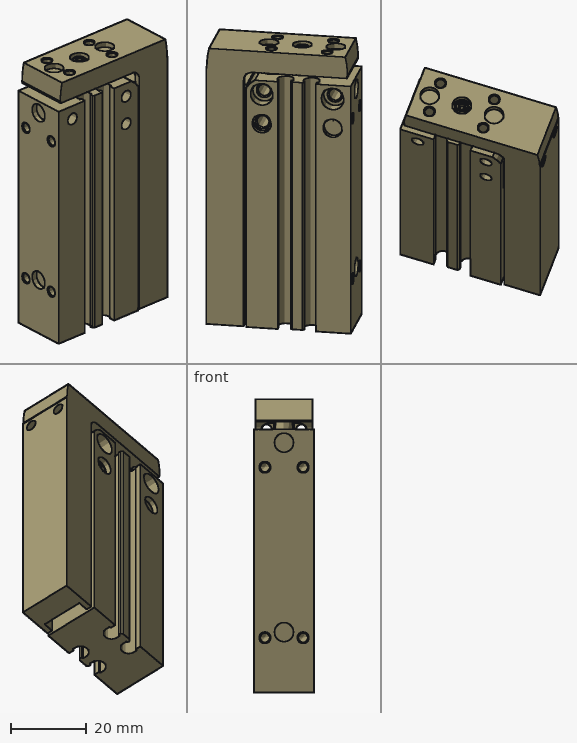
import cadquery as cq
import math


total_height = 77.5
total_depth = 39.0
housing_width = 16.0
housing_depth = 28.1
housing_height = 69.5
table_width = 15.2
table_wall = 10.1
table_slab = 6.0
wall_inner_y = total_depth - table_wall
slab_bottom_z = total_height - table_slab
over = 0.8

corner_run_y = 2.3
corner_run_z = 2.3
corner_radius = 7.0
slot_width = 3.3
slot_neck = 1.6
slot_bore_dia = 4.3
slot_bore_wall = 1.0
rib_width = 3.65
rib_recess = 0.5
rib_chamfer = 0.5

rod_y = 14.5
rod_dia = 4.6
stud_dia = 3.8
stud_top_z = 77.0
stud_chamfer = 0.4
socket_dia = 1.55
socket_depth = 1.55
socket_chamfer = 0.2
stopper_y = 22.5
stopper_dia = 5.5
stopper_height = 1.25
stopper_neck_dia = 2.0

side_hole_dia = 3.25
side_hole_mouth_dia = 4.0
side_front_y = 4.9
side_rear_y = 23.95
side_upper_z = 65.65
side_lower_z = 57.4
counterbore_dia = 6.0
counterbore_depth = 3.3

port_dia = 5.0
port_depth = 1.55
front_port_zs = (16.0, 66.0)

thread_dia = 2.5
thread_mouth_dia = 3.0
drill_tip_angle = 118.0
front_thread_x = 5.0
front_thread_zs = (14.5, 59.5)
front_thread_depth = 5.0
slab_thread_x = 4.5
slab_thread_offset_y = 7.5

guide_width = 12.0
guide_bottom_z = 47.4
guide_length = 20.0
guide_cap_length = 3.1
guide_cap_gap = 0.2

slab_front_y = 0.9
slab_front_step = 0.15
slab_rear_step = 0.15
slab_step_height = 0.5
slab_end_run = 0.6
slab_end_radius = 24.0
inner_fillet = 2.5
dowel_dia = 5.0
dowel_depth = 1.5
dowel_offset_y = 9.0
rod_recess_dia = 5.0
rod_recess_depth = 1.5
wall_hole_dia = 3.0
wall_hole_x = 4.65
wall_hole_z = 69.3
groove_depth = 3.0
groove_top_z = 71.15
groove_corner_radius = 2.0
groove_floor_y = wall_inner_y + groove_depth


def cylinder(dia, length, start, direction):
    """A cylinder that grows from a start point along a direction."""
    solid = cq.Solid.makeCylinder(dia / 2, length, cq.Vector(*start), cq.Vector(*direction))
    return cq.Workplane(solid)


def conical_mouth(hole_dia, mouth_dia, start, direction):
    """A 90 degree countersink cutter that narrows from the mouth to the hole."""
    depth = (mouth_dia - hole_dia) / 2
    solid = cq.Solid.makeCone(
        mouth_dia / 2, hole_dia / 2, depth, cq.Vector(*start), cq.Vector(*direction)
    )
    return cq.Workplane(solid)


def block(width, y_range, z_range):
    """A box centred on X = 0 between two Y and two Z positions."""
    y_start, y_end = y_range
    z_start, z_end = z_range
    corner = cq.Vector(-width / 2, y_start, z_start)
    return cq.Workplane(cq.Solid.makeBox(width, y_end - y_start, z_end - z_start, corner))


def sensor_slots(side):
    """Two undercut slots and the recessed rib between them, on the side at -X or +X."""
    face_x = side * housing_width / 2
    outer_x = face_x + side * over
    neck_x = face_x - side * slot_neck
    arc_x = neck_x - side * slot_bore_wall
    bore_half = slot_bore_dia / 2
    slot_end_x = arc_x - side * bore_half
    pitch = slot_width + rib_width
    slots = cq.Workplane("XY")
    for y in (rod_y - pitch / 2, rod_y + pitch / 2):
        slot = (
            cq.Workplane("XY")
            .moveTo(outer_x, y - slot_width / 2)
            .lineTo(neck_x, y - slot_width / 2)
            .lineTo(neck_x, y - bore_half)
            .lineTo(arc_x, y - bore_half)
            .threePointArc((slot_end_x, y), (arc_x, y + bore_half))
            .lineTo(neck_x, y + bore_half)
            .lineTo(neck_x, y + slot_width / 2)
            .lineTo(outer_x, y + slot_width / 2)
            .close()
            .extrude(housing_height)
        )
        slots = slots.add(slot)
    rib_face_x = face_x - side * rib_recess
    flat_half = rib_width / 2 - rib_chamfer
    rib_trim = (
        cq.Workplane("XY")
        .polyline(
            [
                (outer_x, rod_y - rib_width / 2),
                (rib_face_x - side * rib_chamfer, rod_y - rib_width / 2),
                (rib_face_x, rod_y - flat_half),
                (rib_face_x, rod_y + flat_half),
                (rib_face_x - side * rib_chamfer, rod_y + rib_width / 2),
                (outer_x, rod_y + rib_width / 2),
            ]
        )
        .close()
        .extrude(housing_height)
    )
    return slots.combine().union(rib_trim)


def side_hole(y, z, recess_dia, recess_depth):
    """A through hole along X with a wider recess at -X and a conical mouth at its floor."""
    face_x = -housing_width / 2
    floor_x = face_x + recess_depth
    return (
        cylinder(side_hole_dia, housing_width, (face_x, y, z), (1, 0, 0))
        .union(cylinder(recess_dia, recess_depth, (face_x, y, z), (1, 0, 0)))
        .union(conical_mouth(side_hole_dia, side_hole_mouth_dia, (floor_x, y, z), (1, 0, 0)))
    )


def front_threaded_hole(x, z):
    """A blind threaded hole in the front face, with a conical mouth and a drill tip."""
    tip_length = thread_dia / 2 / math.tan(math.radians(drill_tip_angle / 2))
    tip = cq.Solid.makeCone(
        thread_dia / 2, 0, tip_length, cq.Vector(x, front_thread_depth, z), cq.Vector(0, 1, 0)
    )
    return (
        cylinder(thread_dia, front_thread_depth, (x, 0, z), (0, 1, 0))
        .union(conical_mouth(thread_dia, thread_mouth_dia, (x, 0, z), (0, 1, 0)))
        .union(cq.Workplane(tip))
    )


def rod():
    """The piston rod with its shoulder under the slab and its socketed threaded end."""
    up = (0, 0, 1)
    shoulder = cylinder(rod_dia, slab_bottom_z - housing_height, (0, rod_y, housing_height), up)
    stud = cylinder(stud_dia, stud_top_z - slab_bottom_z, (0, rod_y, slab_bottom_z), up)
    stud = stud.faces(">Z").chamfer(stud_chamfer)
    top = (0, rod_y, stud_top_z)
    down = (0, 0, -1)
    socket = cylinder(socket_dia, socket_depth, top, down)
    socket = socket.union(conical_mouth(socket_dia, socket_dia + 2 * socket_chamfer, top, down))
    return shoulder.union(stud).cut(socket)


def stopper():
    """The end stop on top of the housing: a disc with a neck that meets the slab."""
    disc_top_z = housing_height + stopper_height
    disc = cylinder(stopper_dia, stopper_height, (0, stopper_y, housing_height), (0, 0, 1))
    neck = cylinder(stopper_neck_dia, slab_bottom_z - disc_top_z, (0, stopper_y, disc_top_z), (0, 0, 1))
    return disc.union(neck)


def guide():
    """The guide block on the housing's rear face; its end caps stand clear of the housing."""
    guide_top_z = guide_bottom_z + guide_length
    middle = block(
        guide_width,
        (housing_depth, groove_floor_y),
        (guide_bottom_z + guide_cap_length, guide_top_z - guide_cap_length),
    )
    caps = block(
        guide_width,
        (housing_depth + guide_cap_gap, groove_floor_y),
        (guide_bottom_z, guide_top_z),
    )
    return middle.union(caps)


def housing_blank():
    """The plain housing with its rounded rear top corner."""
    return (
        cq.Workplane("YZ")
        .moveTo(0, 0)
        .lineTo(housing_depth, 0)
        .lineTo(housing_depth, housing_height - corner_run_z)
        .radiusArc((housing_depth - corner_run_y, housing_height), -corner_radius)
        .lineTo(0, housing_height)
        .close()
        .extrude(housing_width / 2, both=True)
    )


def make_housing():
    """The housing with its slots, ports and holes, and with the rod, stopper and guide block."""
    body = housing_blank()
    for side in (-1, 1):
        body = body.cut(sensor_slots(side))
    for y in (side_front_y, side_rear_y):
        body = body.cut(side_hole(y, side_upper_z, counterbore_dia, counterbore_depth))
    body = body.cut(side_hole(side_rear_y, side_lower_z, port_dia, port_depth))
    body = body.cut(
        cylinder(port_dia, port_depth, (-housing_width / 2, side_front_y, side_lower_z), (1, 0, 0))
    )
    for z in front_port_zs:
        body = body.cut(cylinder(port_dia, port_depth, (0, 0, z), (0, 1, 0)))
    for x in (-front_thread_x, front_thread_x):
        for z in front_thread_zs:
            body = body.cut(front_threaded_hole(x, z))
    return body.union(rod()).union(stopper()).union(guide()).solids()


def table_blank():
    """The L-shaped table: upright wall and top slab with gently curved ends."""
    step_z = slab_bottom_z + slab_step_height
    slab_rear_y = total_depth - slab_rear_step
    return (
        cq.Workplane("YZ")
        .moveTo(wall_inner_y, 0)
        .lineTo(wall_inner_y, slab_bottom_z)
        .lineTo(slab_front_y + slab_front_step, slab_bottom_z)
        .lineTo(slab_front_y + slab_front_step, step_z)
        .lineTo(slab_front_y, step_z)
        .radiusArc((slab_front_y + slab_end_run, total_height), slab_end_radius)
        .lineTo(slab_rear_y - slab_end_run, total_height)
        .radiusArc((slab_rear_y, step_z), slab_end_radius)
        .lineTo(total_depth, step_z)
        .lineTo(total_depth, 0)
        .close()
        .extrude(table_width / 2, both=True)
        .edges(cq.selectors.NearestToPointSelector((0, wall_inner_y, slab_bottom_z)))
        .fillet(inner_fillet)
    )


def slab_holes():
    """Recess for the rod end, two dowel holes and four threaded through holes in the slab."""
    down = (0, 0, -1)
    cutters = cylinder(rod_recess_dia, rod_recess_depth, (0, rod_y, total_height), down)
    cutters = cutters.union(cylinder(stud_dia, table_slab, (0, rod_y, total_height), down))
    for side in (-1, 1):
        dowel_y = rod_y + side * dowel_offset_y
        cutters = cutters.union(cylinder(dowel_dia, dowel_depth, (0, dowel_y, total_height), down))
        thread_y = rod_y + side * slab_thread_offset_y
        for x in (-slab_thread_x, slab_thread_x):
            mouth = (x, thread_y, total_height)
            cutters = cutters.union(cylinder(thread_dia, table_slab, mouth, down))
            cutters = cutters.union(conical_mouth(thread_dia, thread_mouth_dia, mouth, down))
    return cutters


def guide_groove():
    """The round-cornered groove for the guide block, which also cuts the inner fillet."""
    groove = block(guide_width, (wall_inner_y - inner_fillet, groove_floor_y), (0, groove_top_z))
    return groove.edges("|Y and >Z").fillet(groove_corner_radius)


def wall_holes():
    """Two holes through the wall at the top of the guide groove."""
    holes = cq.Workplane("XY")
    for x in (-wall_hole_x, wall_hole_x):
        start = (x, groove_floor_y, wall_hole_z)
        holes = holes.add(cylinder(wall_hole_dia, table_wall, start, (0, 1, 0)))
    return holes.combine()


def make_table():
    """The sliding table with all its holes and the guide groove."""
    return table_blank().cut(slab_holes()).cut(guide_groove()).cut(wall_holes()).solids()


housing = make_housing()
table = make_table()

result = cq.Compound.makeCompound([housing.val(), table.val()])